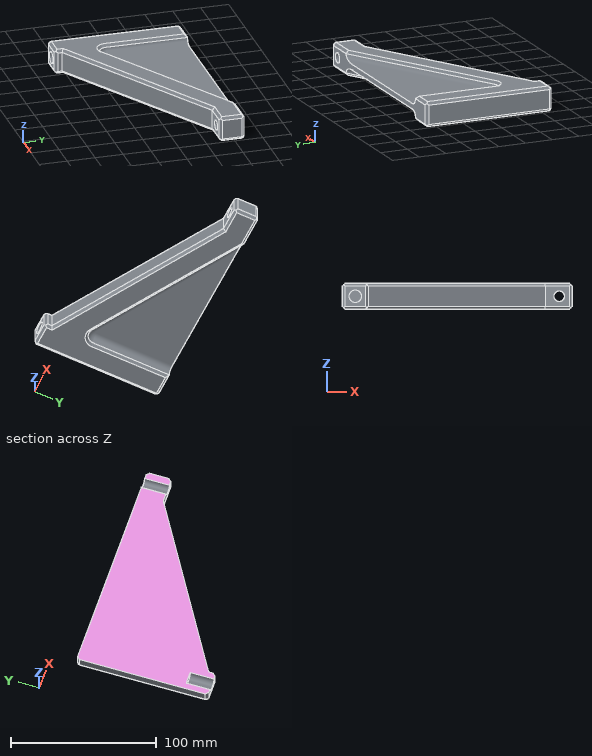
import cadquery as cq
import math

length = 158.0
height = 95.0
thickness = 18.0
bar_width = thickness
edge_chamfer = 2.0

brace_start = (bar_width, 5.2)
brace_end = (139.5, height - bar_width)
brace_angle = math.atan2(brace_end[1] - brace_start[1], brace_end[0] - brace_start[0])

floor_fillet = 4.9
pocket_depth = edge_chamfer + floor_fillet
pocket_corner_radius = 6.0
pocket_overrun = 23.7

through_hole_diameter = 7.1
blind_hole_diameter = 8.5
blind_hole_depth = 2 * blind_hole_diameter


def make_body():
    """Solid triangular bracket with every convex outer edge chamfered."""
    outline = [
        (0, 0),
        (bar_width, 0),
        brace_start,
        brace_end,
        (length, height - bar_width),
        (length, height),
        (0, height),
    ]
    plate = cq.Workplane("XY").polyline(outline).close().extrude(thickness)
    flat_chamfered = plate.faces("|Z").edges().chamfer(edge_chamfer)

    upright_chamfered = plate
    convex_corners = [outline[0], outline[1], outline[4], outline[5], outline[6]]
    for x, y in convex_corners:
        nearest = cq.selectors.NearestToPointSelector((x, y, thickness / 2))
        upright_chamfered = upright_chamfered.edges("|Z").edges(nearest).chamfer(edge_chamfer)

    return flat_chamfered.intersect(upright_chamfered)


def make_pocket():
    """Cutter for the upper pocket: filleted floor, chamfered rim, open at the back."""
    slope = math.tan(brace_angle)
    brace_rise = bar_width / math.cos(brace_angle)
    corner_y = brace_start[1] + brace_rise
    back_y = height + pocket_overrun
    back_x = bar_width + (back_y - corner_y) / slope

    radius = pocket_corner_radius
    centre_x = bar_width + radius
    centre_y = corner_y + radius * slope + radius / math.cos(brace_angle)
    arc_end = 3 * math.pi / 2 + brace_angle
    arc_middle = (math.pi + arc_end) / 2

    def on_arc(angle):
        return (centre_x + radius * math.cos(angle), centre_y + radius * math.sin(angle))

    def outline_at(z):
        return (
            cq.Workplane("XY", origin=(0, 0, z))
            .moveTo(bar_width, back_y)
            .lineTo(*on_arc(math.pi))
            .threePointArc(on_arc(arc_middle), on_arc(arc_end))
            .lineTo(back_x, back_y)
            .close()
        )

    recess = outline_at(thickness - pocket_depth).extrude(pocket_depth)
    recess = recess.faces("<Z").edges().fillet(floor_fillet)
    rim = outline_at(thickness - edge_chamfer).extrude(edge_chamfer, taper=-45)
    return recess.union(rim)


def make_hole(x, diameter, start_y, end_y):
    """Cutter for a hole running along Y between the given positions."""
    return (
        cq.Workplane("XZ", origin=(x, start_y, thickness / 2))
        .circle(diameter / 2)
        .extrude(start_y - end_y)
    )


upper_pocket = make_pocket()
lower_pocket = upper_pocket.mirror("XY", (0, 0, thickness / 2))
blind_hole = make_hole(bar_width / 2, blind_hole_diameter, 0, blind_hole_depth)
through_hole = make_hole(length - bar_width / 2, through_hole_diameter, height - bar_width, height)

result = make_body().cut(upper_pocket).cut(lower_pocket).cut(blind_hole).cut(through_hole)